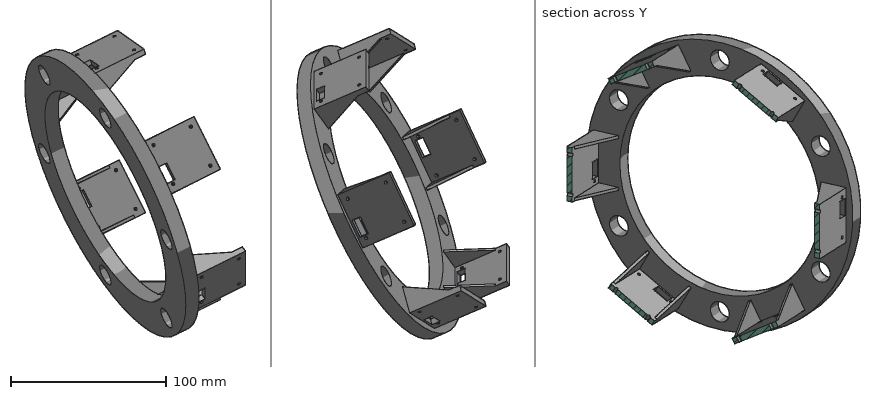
import cadquery as cq

ring_outer_diameter = 200
ring_inner_diameter = 150
ring_thickness = 10
bolt_hole_diameter = 14
bolt_circle_diameter = (ring_outer_diameter + ring_inner_diameter) / 2

bracket_count = 6
bracket_pitch_angle = 360 / bracket_count
plate_size = 38
plate_thickness = 4
plate_outer_radius = 95
plate_inner_radius = plate_outer_radius - plate_thickness
overall_depth = ring_thickness + plate_size

gusset_thickness = 2
gusset_foot_length = 15
gusset_foot_radius = plate_inner_radius - gusset_foot_length
gusset_top_setback = 8

screw_hole_diameter = 2
screw_hole_spacing = 28
window_width = 12
window_height = 6
window_ring_gap = 1.5


def make_ring():
    """Flat ring with bolt holes midway between the brackets."""
    ring = (
        cq.Workplane("XZ")
        .circle(ring_outer_diameter / 2)
        .circle(ring_inner_diameter / 2)
        .extrude(-ring_thickness)
    )
    bolt_holes = (
        cq.Workplane("XZ")
        .polarArray(bolt_circle_diameter / 2, bracket_pitch_angle / 2, 360, bracket_count)
        .circle(bolt_hole_diameter / 2)
        .extrude(-ring_thickness)
    )
    return ring.cut(bolt_holes)


def make_gusset(bottom_z):
    """Tapered side web from the plate down to the ring, starting at height bottom_z."""
    return (
        cq.Workplane("XY", origin=(0, 0, bottom_z))
        .moveTo(plate_inner_radius, ring_thickness)
        .lineTo(gusset_foot_radius, ring_thickness)
        .lineTo(plate_inner_radius, overall_depth - gusset_top_setback)
        .close()
        .extrude(gusset_thickness)
    )


def make_plate_openings():
    """Four screw holes in a square and one window beside the ring, through the plate."""
    plate_center_y = ring_thickness + plate_size / 2
    screw_holes = (
        cq.Workplane("YZ", origin=(plate_inner_radius, plate_center_y, 0))
        .rarray(screw_hole_spacing, screw_hole_spacing, 2, 2)
        .circle(screw_hole_diameter / 2)
        .extrude(plate_thickness)
    )
    window = cq.Workplane("XY").box(
        plate_thickness, window_height, window_width, centered=False
    ).translate((plate_inner_radius, ring_thickness + window_ring_gap, -window_width))
    return screw_holes.union(window)


def make_bracket():
    """Bracket on the +X side of the ring: upright plate, two gussets and openings."""
    plate = cq.Workplane("XY").box(
        plate_thickness, plate_size, plate_size, centered=(False, False, True)
    ).translate((plate_inner_radius, ring_thickness, 0))
    lower_gusset = make_gusset(-plate_size / 2)
    upper_gusset = make_gusset(plate_size / 2 - gusset_thickness)
    return plate.union(lower_gusset).union(upper_gusset).cut(make_plate_openings())


result = make_ring()
bracket = make_bracket()
for index in range(bracket_count):
    result = result.union(bracket.rotate((0, 0, 0), (0, 1, 0), index * bracket_pitch_angle))